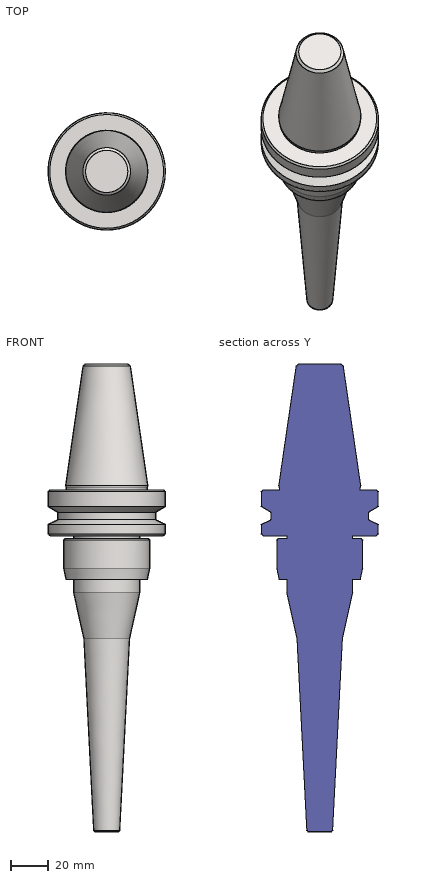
import cadquery as cq

total_height = 251.5

nose_tip_radius = 7.0
nose_tip_chamfer = 0.8
nose_top_radius = 12.3
nose_top_z = 103.8
cone_top_radius = 17.8
cone_top_z = 128.7

collar_bottom_z = 135.5
collar_bottom_radius = 21.9
collar_taper_top_z = 141.5
collar_radius = 23.1
collar_top_z = 157.6
collar_chamfer = 0.8

flange_diameter = 63.0
flange_radius = flange_diameter / 2
flange_bottom_z = 159.0
flange_top_z = 183.8
flange_bottom_chamfer = 1.3
flange_top_chamfer = 1.0
groove_radius = 26.5
groove_lower_lip_z = 165.2
groove_root_bottom_z = 167.7
groove_root_top_z = 171.7
groove_upper_lip_z = 174.7

taper_ratio = 7 / 24
shank_base_radius = 22.0
shank_base_z = 186.0
relief_radius = 21.9
relief_height = 1.3
shank_top_chamfer = 1.3
shank_top_radius = shank_base_radius - (total_height - shank_base_z) * taper_ratio / 2
shank_chamfer_z = total_height - shank_top_chamfer
shank_chamfer_radius = shank_top_radius + shank_top_chamfer * taper_ratio / 2

nose_profile = [
    (0, 0),
    (nose_tip_radius - nose_tip_chamfer, 0),
    (nose_tip_radius, nose_tip_chamfer),
    (nose_top_radius, nose_top_z),
    (cone_top_radius, cone_top_z),
    (cone_top_radius, collar_bottom_z),
]
collar_profile = [
    (collar_bottom_radius, collar_bottom_z),
    (collar_radius, collar_taper_top_z),
    (collar_radius, collar_top_z - collar_chamfer),
    (collar_radius - collar_chamfer, collar_top_z),
    (cone_top_radius, collar_top_z),
    (cone_top_radius, flange_bottom_z),
]
flange_profile = [
    (flange_radius - flange_bottom_chamfer, flange_bottom_z),
    (flange_radius, flange_bottom_z + flange_bottom_chamfer),
    (flange_radius, groove_lower_lip_z),
    (groove_radius, groove_root_bottom_z),
    (groove_radius, groove_root_top_z),
    (flange_radius, groove_upper_lip_z),
    (flange_radius, flange_top_z - flange_top_chamfer),
    (flange_radius - flange_top_chamfer, flange_top_z),
]
shank_profile = [
    (relief_radius, flange_top_z),
    (relief_radius, flange_top_z + relief_height),
    (shank_base_radius, shank_base_z),
    (shank_chamfer_radius, shank_chamfer_z),
    (shank_top_radius - shank_top_chamfer, total_height),
    (0, total_height),
]

half_section = nose_profile + collar_profile + flange_profile + shank_profile
result = cq.Workplane("XZ").polyline(half_section).close().revolve(360, (0, 0, 0), (0, 1, 0))